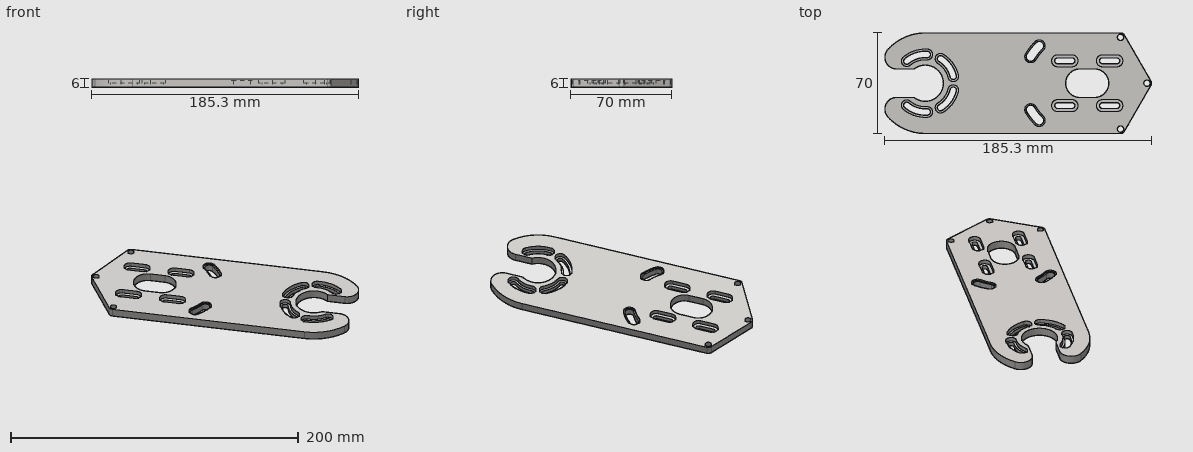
import cadquery as cq
import math

length = 185.3
width = 70.0
thickness = 6.0
half_width = width / 2

throat_diameter = 25.0
throat_radius = throat_diameter / 2
half_gap = 9.8
throat_corner_x = -math.sqrt(throat_radius**2 - half_gap**2)

prong_radius = 8.2
prong_y = half_gap + prong_radius
prong_x = -math.sqrt((half_width - prong_radius) ** 2 - prong_y**2)

hole_diameter = 4.3
corner_hole_y = 31.9
corner_radius = half_width - corner_hole_y
edge_angle = 30.0
tip_hole_x = prong_x - prong_radius + length - corner_radius
corner_hole_x = tip_hole_x - corner_hole_y * math.tan(math.radians(edge_angle))

ring_radius = 20.0
ring_pitch_angle = 72.0
ring_half_sweep = 22.0
ring_slot_width = 4.3
ring_recess_width = 7.5
ring_recess_depth = 3.0

slant_center_x = 104.3
slant_radius = 36.1
slant_middle_angle = 141.8
slant_half_sweep = 7.6
slant_slot_width = 6.1
slant_recess_width = 8.3
slant_recess_depth = 1.1

opening_x = 112.5
opening_length = 29.8
opening_width = 19.6
slot_pitch = 31.1
slot_travel = 10.0
slot_width = 3.9
slot_recess_width = 8.3
slot_recess_depth = 3.0


def polar(radius, angle, center=(0.0, 0.0)):
    """Point on a circle, at an angle in degrees from +X."""
    turn = math.radians(angle)
    return (center[0] + radius * math.cos(turn), center[1] + radius * math.sin(turn))


def half_plate():
    """Plate on the +Y side of the centre line, without its slots and holes."""
    throat_angle = math.degrees(math.atan2(half_gap, throat_corner_x))
    prong_angle = math.degrees(math.atan2(prong_y, prong_x))
    corner = (corner_hole_x, corner_hole_y)
    tip = (tip_hole_x, 0)
    return (
        cq.Workplane("XY")
        .moveTo(throat_radius, 0)
        .threePointArc(polar(throat_radius, throat_angle / 2), (throat_corner_x, half_gap))
        .lineTo(prong_x, half_gap)
        .threePointArc((prong_x - prong_radius, prong_y), polar(half_width, prong_angle))
        .threePointArc(polar(half_width, (prong_angle + 90) / 2), (0, half_width))
        .lineTo(corner_hole_x, half_width)
        .threePointArc(
            polar(corner_radius, (90 + edge_angle) / 2, corner),
            polar(corner_radius, edge_angle, corner),
        )
        .lineTo(*polar(corner_radius, edge_angle, tip))
        .threePointArc(polar(corner_radius, edge_angle / 2, tip), polar(corner_radius, 0, tip))
        .close()
        .extrude(thickness)
    )


def curved_slot(center_x, radius, middle_angle, half_sweep, slot_size, depth):
    """Cutter from the top face down, following an arc, with round ends."""
    center = (center_x, 0)
    start = middle_angle - half_sweep
    end = middle_angle + half_sweep
    inner = radius - slot_size / 2
    outer = radius + slot_size / 2
    start_cap = polar(slot_size / 2, start - 90, polar(radius, start, center))
    end_cap = polar(slot_size / 2, end + 90, polar(radius, end, center))
    return (
        cq.Workplane("XY", origin=(0, 0, thickness))
        .moveTo(*polar(outer, start, center))
        .threePointArc(polar(outer, middle_angle, center), polar(outer, end, center))
        .threePointArc(end_cap, polar(inner, end, center))
        .threePointArc(polar(inner, middle_angle, center), polar(inner, start, center))
        .threePointArc(start_cap, polar(outer, start, center))
        .close()
        .extrude(-depth)
    )


def straight_slot(x, y, slot_length, slot_size, depth):
    """Cutter from the top face down, along X, with round ends."""
    return (
        cq.Workplane("XY", origin=(x, y, thickness))
        .slot2D(slot_length, slot_size)
        .extrude(-depth)
    )


def round_hole(x, y):
    """Cutter for a hole through the plate."""
    return cq.Workplane("XY", origin=(x, y, 0)).circle(hole_diameter / 2).extrude(thickness)


half = half_plate().cut(round_hole(corner_hole_x, corner_hole_y))

for step in (0.5, 1.5):
    angle = step * ring_pitch_angle
    for size, depth in ((ring_slot_width, thickness), (ring_recess_width, ring_recess_depth)):
        half = half.cut(curved_slot(0, ring_radius, angle, ring_half_sweep, size, depth))

for size, depth in ((slant_slot_width, thickness), (slant_recess_width, slant_recess_depth)):
    half = half.cut(
        curved_slot(slant_center_x, slant_radius, slant_middle_angle, slant_half_sweep, size, depth)
    )

for side in (-1, 1):
    slot_x = opening_x + side * slot_pitch / 2
    for size, depth in ((slot_width, thickness), (slot_recess_width, slot_recess_depth)):
        half = half.cut(straight_slot(slot_x, slot_pitch / 2, slot_travel + size, size, depth))

plate = half.union(half.mirror("XZ")).clean()
plate = plate.cut(straight_slot(opening_x, 0, opening_length, opening_width, thickness))
result = plate.cut(round_hole(tip_hole_x, 0))